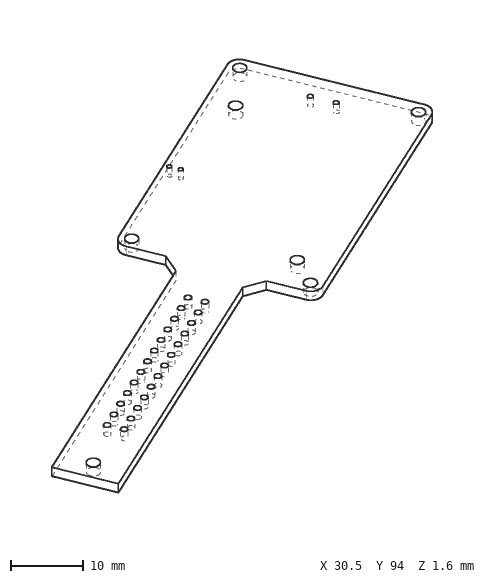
import cadquery as cq

board_length = 94.0
board_thickness = 1.6
head_width = 30.45
head_length = 44.5
head_corner_radius = 1.8
tail_width = 10.0
shoulder_size = 2.5

mount_diameter = 2.0
corner_inset = 1.9
tail_hole_y = 3.1
upper_hole = (-10.8, 84.1)
lower_hole = (9.8, 55.4)

pin_diameter = 1.0
pin_pitch = 2.5
pin_rows = 13
pin_columns = 2
first_pin_y = 11.6

top_pair_diameter = 0.8
top_pair_spacing = 3.9
top_pair_y = 89.8

side_pair_diameter = 0.7
side_pair_spacing = 1.7
side_pair_edge_inset = 0.8
side_pair_y = 68.1

head_half = head_width / 2
tail_half = tail_width / 2
head_bottom = board_length - head_length


def make_board():
    """Extrude the outline and round the four corners of the head."""
    right_side = [
        (tail_half, 0),
        (tail_half, head_bottom - shoulder_size),
        (tail_half + shoulder_size, head_bottom),
        (head_half, head_bottom),
        (head_half, board_length),
    ]
    left_side = [(-x, y) for x, y in reversed(right_side)]
    board = cq.Workplane("XY").polyline(right_side + left_side).close().extrude(board_thickness)
    head_corners = cq.selectors.BoxSelector(
        (-head_width, head_bottom - shoulder_size, 0),
        (-head_half + head_corner_radius, board_length + shoulder_size, board_thickness),
    ) + cq.selectors.BoxSelector(
        (head_half - head_corner_radius, head_bottom - shoulder_size, 0),
        (head_width, board_length + shoulder_size, board_thickness),
    )
    return board.edges("|Z").edges(head_corners).fillet(head_corner_radius)


def drill(board, points, diameter):
    """Cut a through hole at each point."""
    drills = cq.Workplane("XY").pushPoints(points).circle(diameter / 2).extrude(board_thickness)
    return board.cut(drills)


corner_x = head_half - corner_inset
corner_holes = [
    (x, y)
    for x in (-corner_x, corner_x)
    for y in (head_bottom + corner_inset, board_length - corner_inset)
]
mount_holes = corner_holes + [upper_hole, lower_hole, (0, tail_hole_y)]

pin_holes = [
    ((column - (pin_columns - 1) / 2) * pin_pitch, first_pin_y + row * pin_pitch)
    for column in range(pin_columns)
    for row in range(pin_rows)
]

top_pair = [(side * top_pair_spacing / 2, top_pair_y) for side in (-1, 1)]

side_pair_x = -head_half + side_pair_edge_inset
side_pair = [(side_pair_x + index * side_pair_spacing, side_pair_y) for index in range(2)]

result = make_board()
result = drill(result, mount_holes, mount_diameter)
result = drill(result, pin_holes, pin_diameter)
result = drill(result, top_pair, top_pair_diameter)
result = drill(result, side_pair, side_pair_diameter)